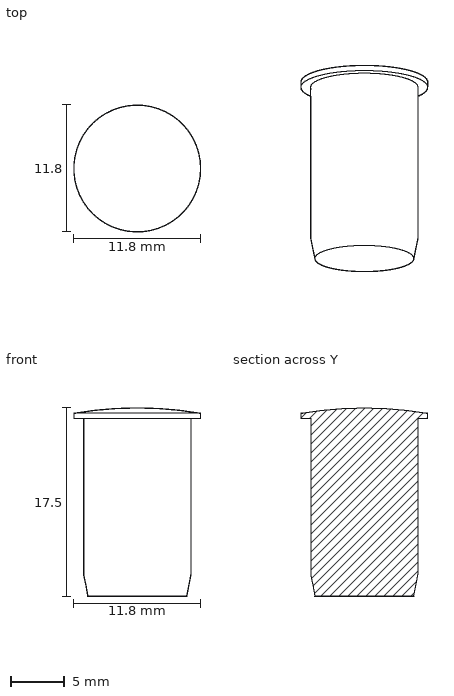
import cadquery as cq

total_height = 17.5
head_diameter = 11.8
body_diameter = 10.0
tip_diameter = 9.2
tip_height = 2.0
rim_height = 0.5
dome_height = 0.5

head_radius = head_diameter / 2
body_radius = body_diameter / 2
tip_radius = tip_diameter / 2
rim_top = total_height - dome_height
rim_bottom = rim_top - rim_height

dome_radius = (head_radius**2 + dome_height**2) / (2 * dome_height)
dome_mid_x = head_radius / 2
dome_mid_z = total_height - dome_radius + (dome_radius**2 - dome_mid_x**2) ** 0.5

profile = (
    cq.Workplane("XZ")
    .moveTo(0, 0)
    .lineTo(tip_radius, 0)
    .lineTo(body_radius, tip_height)
    .lineTo(body_radius, rim_bottom)
    .lineTo(head_radius, rim_bottom)
    .lineTo(head_radius, rim_top)
    .threePointArc((dome_mid_x, dome_mid_z), (0, total_height))
    .close()
)

result = profile.revolve(360, (0, 0, 0), (0, 1, 0))